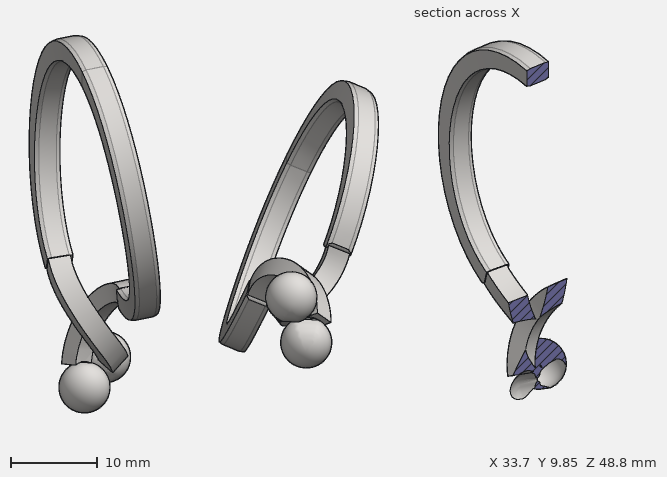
import cadquery as cq
import math

ring_diameter = 33.7
total_height = 48.75
total_depth = 9.85

ring_thickness = 2.6
ring_width = 3.05
bevel_on_side = 0.15
bevel_on_rim = 0.5
end_angle = 15.4
end_drift = 2.95
drift_power = 1.8
end_corner_radius = 0.97
section_steps = 10

tail_thickness = 2.25
tail_width = 2.65
tail_overlap_angle = 3.0
tail_points = [
    (-0.5, -2.7, -17.05),
    (1.8, -0.3, -21.7),
    (0.95, 1.7, -25.85),
    (0.1, 2.2, -27.3),
]

ball_radius = 2.95
ball_x = 2.25

outer_radius = ring_diameter / 2
middle_radius = outer_radius - ring_thickness / 2
sweep_angle = math.radians(180 - end_angle)
ball_y = total_depth / 2 - ball_radius
ball_z = outer_radius - total_height + ball_radius


def ring_point(angle):
    """Point on the half ring's centre line, at an angle from its top."""
    drop_share = (1 - math.cos(angle)) / (1 - math.cos(sweep_angle))
    return (
        -middle_radius * math.sin(angle),
        -end_drift * drop_share**drift_power,
        middle_radius * math.cos(angle),
    )


def bar_section():
    """Outline of the ring's bevelled bar: width along its first axis, thickness along its second."""
    half_width = ring_width / 2
    half_thickness = ring_thickness / 2
    flat_half = half_thickness - bevel_on_side
    rim_half = half_width - bevel_on_rim
    return [
        (-half_width, -flat_half),
        (-rim_half, -half_thickness),
        (rim_half, -half_thickness),
        (half_width, -flat_half),
        (half_width, flat_half),
        (rim_half, half_thickness),
        (-rim_half, half_thickness),
        (-half_width, flat_half),
    ]


def section_wire(angle):
    """The bar's outline, square to the half ring's centre line at an angle from its top."""
    step = 0.001
    tangent = cq.Vector(*ring_point(angle + step)) - cq.Vector(*ring_point(angle - step))
    radial = cq.Vector(-math.sin(angle), 0, math.cos(angle))
    plane = cq.Plane(origin=ring_point(angle), xDir=radial.cross(tangent), normal=tangent)
    return cq.Workplane(plane).polyline(bar_section()).close().val()


def half_ring():
    """Left half of the ring, drifting towards -Y, with its outer end corner rounded."""
    sections = [section_wire(sweep_angle * i / section_steps) for i in range(section_steps + 1)]
    bar = cq.Workplane(cq.Solid.makeLoft(sections))
    return bar.cut(end_corner())


def end_corner():
    """Waste outside the rounding of the half ring's outer end corner."""
    size = end_corner_radius
    overshoot = 0.5
    corner = (
        cq.Workplane("XZ", origin=(0, ring_diameter / 2, 0))
        .moveTo(-size, -outer_radius)
        .radiusArc((0, size - outer_radius), -size)
        .lineTo(overshoot, size - outer_radius)
        .lineTo(overshoot, -outer_radius - overshoot)
        .lineTo(-size, -outer_radius - overshoot)
        .close()
        .extrude(ring_diameter)
    )
    return corner.rotate((0, 0, 0), (0, 1, 0), end_angle)


def tail():
    """Bar that curls across the ring's axis and ends inside the ball."""
    start = ring_point(sweep_angle - math.radians(tail_overlap_angle))
    path = cq.Workplane("XY").spline([start] + tail_points)
    spine = path.val()
    section = cq.Plane(origin=spine.startPoint(), xDir=(0, 1, 0), normal=spine.tangentAt(0))
    return cq.Workplane(section).rect(tail_width, tail_thickness).sweep(path)


def ball():
    """Ball at the end of the tail."""
    return cq.Workplane("XY").sphere(ball_radius).translate((-ball_x, ball_y, ball_z))


strand = half_ring().union(tail()).union(ball())

result = strand.union(strand.rotate((0, 0, 0), (0, 0, 1), 180))